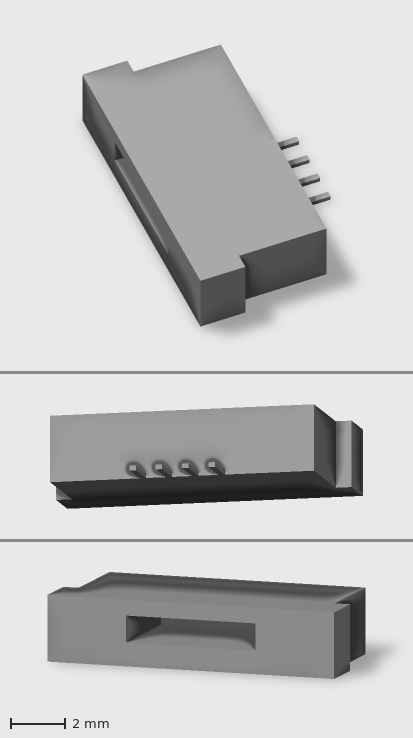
import cadquery as cq

flange_width = 11.2
flange_depth = 1.8
body_width = 10.0
housing_depth = 5.3
height = 2.5

slot_width = 5.07
slot_height = 1.02
slot_bottom = 0.88
slot_depth = 4.0

pin_count = 4
pin_pitch = 1.0
pin_width = 0.25
pin_thickness = 0.18
pin_length = 1.6


def block(width, depth, thickness, x=0, y=0, z=0):
    """Box centred on x, starting at y and z."""
    box = cq.Workplane("XY").box(width, depth, thickness, centered=(True, False, False))
    return box.translate((x, y, z))


housing = block(flange_width, flange_depth, height)
housing = housing.union(block(body_width, housing_depth, height))
housing = housing.cut(block(slot_width, slot_depth, slot_height, z=slot_bottom))

result = housing
for index in range(pin_count):
    pin_x = (index - (pin_count - 1) / 2) * pin_pitch
    result = result.union(block(pin_width, pin_length, pin_thickness, x=pin_x, y=housing_depth))